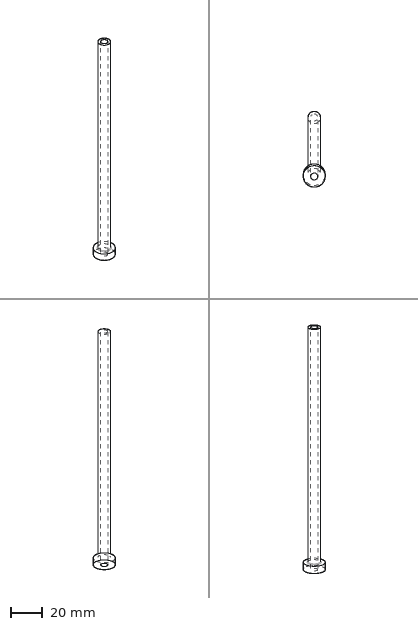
import cadquery as cq

total_length = 165.0
head_diameter = 14.0
head_thickness = 5.0
shaft_diameter = 8.0
bore_diameter = 4.5
root_fillet_radius = 0.5


def sleeve_profile():
    """Half section of the sleeve in the XZ plane, from the bore wall outwards."""
    bore_radius = bore_diameter / 2
    shaft_radius = shaft_diameter / 2
    head_radius = head_diameter / 2
    fillet_end = (shaft_radius, head_thickness + root_fillet_radius)
    return (
        cq.Workplane("XZ")
        .moveTo(bore_radius, 0)
        .lineTo(head_radius, 0)
        .lineTo(head_radius, head_thickness)
        .lineTo(shaft_radius + root_fillet_radius, head_thickness)
        .radiusArc(fillet_end, root_fillet_radius)
        .lineTo(shaft_radius, total_length)
        .lineTo(bore_radius, total_length)
        .close()
    )


result = sleeve_profile().revolve(360, (0, 0, 0), (0, 1, 0))